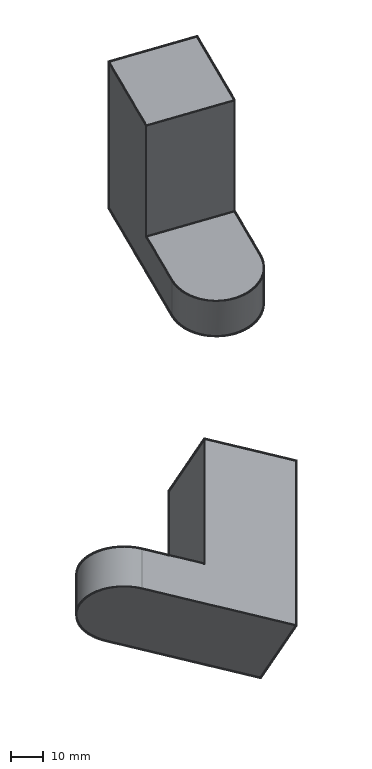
import cadquery as cq

length = 65.0
width = 29.0
height = 62.0
base_height = 15.0
post_length = 30.0

nose_radius = width / 2
straight_length = length - nose_radius


def make_base():
    """Flat foot with a full-round nose at its +X end."""
    return (
        cq.Workplane("XY")
        .moveTo(0, -nose_radius)
        .lineTo(straight_length, -nose_radius)
        .threePointArc((length, 0), (straight_length, nose_radius))
        .lineTo(0, nose_radius)
        .close()
        .extrude(base_height)
    )


def make_post():
    """Rectangular post, flush with the square end and sides of the base."""
    return cq.Workplane("XY").box(post_length, width, height, centered=(False, True, False))


result = make_base().union(make_post())